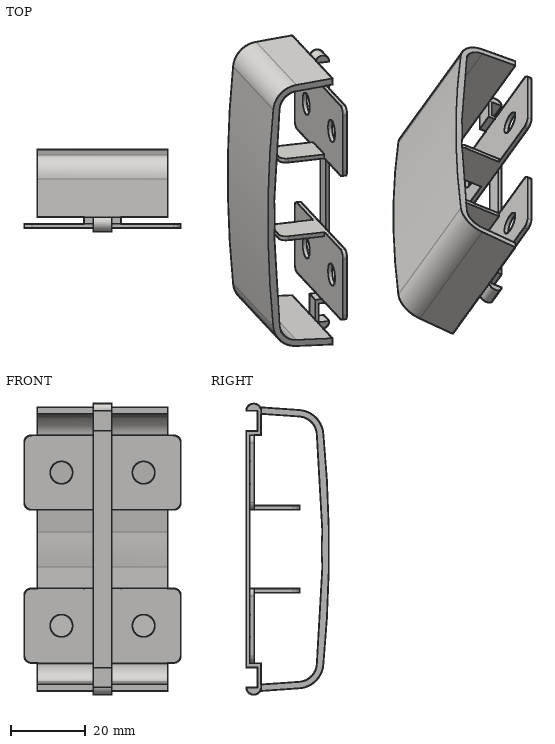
import cadquery as cq
import math


shell_width = 35.0
shell_front_y = 4.0
shell_back_y = 22.18
shell_end_z = 38.0
leg_thickness = 1.8
leg_angle = math.radians(4.0)
leg_slope = math.tan(leg_angle)
back_radius = 320.0
back_thickness = 2.0
outer_corner_radius = 7.0
inner_corner_radius = 5.0
bulge_half_height = 4.7
bulge_depth = 0.18
inner_side_slope = 0.057

clip_width = 5.0
clip_thickness = 1.0
hook_radius = 2.0
hook_flat_z = 37.0
step_thickness = 1.2

plate_width = 42.0
plate_height = 20.0
plate_thickness = 1.2
plate_center_z = 20.5
plate_corner_radius = 2.0
hole_diameter = 6.0
hole_spacing = 22.0
tab_width = 10.0
tab_end_y = 14.4
tab_corner_radius = 2.0

plate_outer_z = plate_center_z + plate_height / 2
plate_inner_z = plate_center_z - plate_height / 2


def centered_extrude(profile, width):
    """Extrude a YZ profile symmetrically about X = 0."""
    return profile.extrude(width / 2, both=True)


def leg_z(y, end_z):
    """Z of a leg surface at y, for a leg that starts at end_z on the front."""
    return end_z - leg_slope * (y - shell_front_y)


def round_corners(body, corner_y, corner_z, radius):
    """Fillet the two X-parallel edges at (corner_y, +/-corner_z)."""
    reach = 1.0
    for z in (-corner_z, corner_z):
        around_corner = cq.selectors.BoxSelector(
            (-shell_width, corner_y - reach, z - reach),
            (shell_width, corner_y + reach, z + reach),
        )
        body = body.edges("|X").edges(around_corner).fillet(radius)
    return body


def make_shell():
    center_y = shell_back_y - back_radius
    leg_distance = leg_z(center_y, shell_end_z) * math.cos(leg_angle)
    half_chord = math.sqrt(back_radius**2 - leg_distance**2)
    corner_y = center_y + leg_distance * math.sin(leg_angle) + half_chord * math.cos(leg_angle)
    corner_z = leg_z(corner_y, shell_end_z)
    outer_profile = (
        cq.Workplane("YZ")
        .moveTo(shell_front_y, -shell_end_z)
        .lineTo(corner_y, -corner_z)
        .threePointArc((shell_back_y, 0), (corner_y, corner_z))
        .lineTo(shell_front_y, shell_end_z)
        .close()
    )
    outer = centered_extrude(outer_profile, shell_width)
    outer = round_corners(outer, corner_y, corner_z, outer_corner_radius)

    inner_end_z = shell_end_z - leg_thickness
    bulge_y = shell_back_y - back_thickness
    valley_y = bulge_y + bulge_depth
    inner_corner_y = (
        valley_y - inner_side_slope * (leg_z(0, inner_end_z) - bulge_half_height)
    ) / (1 - inner_side_slope * leg_slope)
    inner_corner_z = leg_z(inner_corner_y, inner_end_z)
    inner_profile = (
        cq.Workplane("YZ")
        .moveTo(shell_front_y, -inner_end_z)
        .lineTo(inner_corner_y, -inner_corner_z)
        .lineTo(valley_y, -bulge_half_height)
        .threePointArc((bulge_y, 0), (valley_y, bulge_half_height))
        .lineTo(inner_corner_y, inner_corner_z)
        .lineTo(shell_front_y, inner_end_z)
        .close()
    )
    inner = centered_extrude(inner_profile, shell_width)
    inner = round_corners(inner, inner_corner_y, inner_corner_z, inner_corner_radius)
    return outer.cut(inner)


def make_clip():
    strip_end_z = plate_outer_z + step_thickness
    wall_front_y = shell_front_y - clip_thickness
    half_profile = (
        cq.Workplane("YZ")
        .moveTo(0, 0)
        .lineTo(0, strip_end_z)
        .lineTo(wall_front_y, strip_end_z)
        .lineTo(wall_front_y, hook_flat_z)
        .lineTo(0, hook_flat_z)
        .threePointArc((hook_radius, hook_flat_z + hook_radius), (2 * hook_radius, hook_flat_z))
        .lineTo(shell_front_y, plate_outer_z)
        .lineTo(clip_thickness, plate_outer_z)
        .lineTo(clip_thickness, 0)
        .close()
    )
    half = centered_extrude(half_profile, clip_width)
    return half.union(half.mirror("XY"))


def make_contact():
    """Upper contact plate, with its tab bent back from the edge nearest mid-height."""
    plate = (
        cq.Workplane("XY")
        .box(plate_width, plate_thickness, plate_height)
        .edges("|Y")
        .fillet(plate_corner_radius)
        .faces("<Y")
        .workplane()
        .pushPoints([(-hole_spacing / 2, 0), (hole_spacing / 2, 0)])
        .hole(hole_diameter)
        .translate((0, clip_thickness + plate_thickness / 2, plate_center_z))
    )
    tab_length = tab_end_y - clip_thickness
    tab = (
        cq.Workplane("XY")
        .box(tab_width, tab_length, plate_thickness)
        .edges("|Z and >Y")
        .fillet(tab_corner_radius)
        .translate((0, clip_thickness + tab_length / 2, plate_inner_z + plate_thickness / 2))
    )
    return plate.union(tab)


contact = make_contact()
result = make_shell().union(make_clip()).union(contact).union(contact.mirror("XY"))